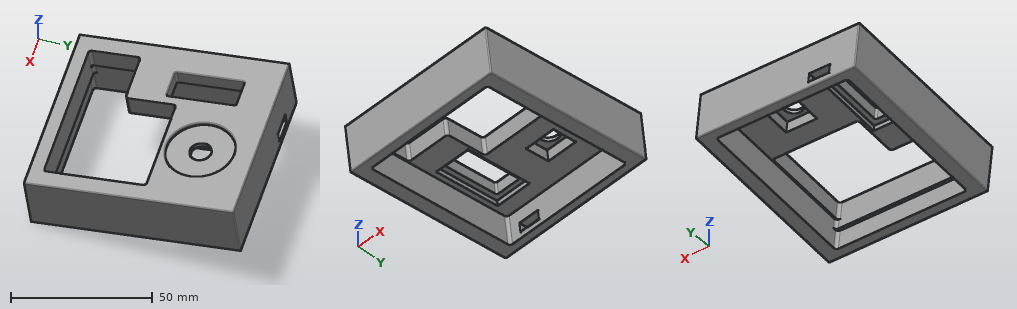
import cadquery as cq


width = 71.1
length = 78.1
height = 21.05
tilt = 7.4
edge_radius = 0.4

plate_thickness = 8
cavity_side_wall = 6.25
lower_front_wall = 4.3
cavity_back_wall = 4
step_depth = 12.4
corner_radius = 1.2

key_width = 57.6
key_depth = 38.0
key_left = (width - key_width) / 2
key_front = 5.5
key_notch_width = 19.3
key_row_depth = 19.1

window_width = 11.3
window_length = 25.9
window_center = (16.7, 51.7)
window_thickness = 5.6
window_corner_radius = 0.8
display_margin = 2.4

knob_center = (44.7, 57.9)
recess_diameter = 25.1
recess_depth = 1.2
shaft_diameter = 7.9
web_thickness = 1.8
encoder_width = 13.8
encoder_length = 11.2

port_center_x = 16.4
port_width = 9.3
port_height = 4
port_bottom = 2.8

ceiling = height - plate_thickness
step_height = height - step_depth


def block(x_range, y_range, z_range):
    """Box spanning the given ranges."""
    (x0, x1), (y0, y1), (z0, z1) = x_range, y_range, z_range
    return cq.Workplane("XY").box(x1 - x0, y1 - y0, z1 - z0, centered=False).translate((x0, y0, z0))


def centered_block(center, size_x, size_y, z_range):
    """Box centred on a plan point, spanning z_range."""
    x, y = center
    return block((x - size_x / 2, x + size_x / 2), (y - size_y / 2, y + size_y / 2), z_range)


def cavity():
    """Hollow flush with the front of the key opening, stepping forward near the bottom."""
    x_range = (cavity_side_wall, width - cavity_side_wall)
    back = length - cavity_back_wall
    upper = block(x_range, (key_front, back), (0, ceiling)).edges("|Z").fillet(corner_radius)
    lower = block(x_range, (lower_front_wall, back), (0, step_height)).edges("|Z").fillet(corner_radius)
    return upper.union(lower)


def key_opening():
    right = key_left + key_width
    notch_x = key_left + key_notch_width
    notch_y = key_front + key_row_depth
    back = key_front + key_depth
    outline = [
        (key_left, key_front),
        (right, key_front),
        (right, back),
        (notch_x, back),
        (notch_x, notch_y),
        (key_left, notch_y),
    ]
    return cq.Workplane("XY").polyline(outline).close().extrude(height).edges("|Z").fillet(corner_radius)


def display_window():
    window = centered_block(window_center, window_width, window_length, (0, height))
    return window.edges("|Z").fillet(window_corner_radius)


def display_pocket():
    return centered_block(
        window_center,
        window_width + 2 * display_margin,
        window_length + 2 * display_margin,
        (0, height - window_thickness),
    )


def knob_recess():
    return (
        cq.Workplane("XY", origin=(*knob_center, height))
        .circle(recess_diameter / 2)
        .extrude(-recess_depth)
    )


def shaft_hole():
    return cq.Workplane("XY").center(*knob_center).circle(shaft_diameter / 2).extrude(height)


def encoder_pocket():
    pocket_top = height - recess_depth - web_thickness
    return centered_block(knob_center, encoder_width, encoder_length, (0, pocket_top))


def cable_port():
    return block(
        (port_center_x - port_width / 2, port_center_x + port_width / 2),
        (length - cavity_back_wall, length),
        (port_bottom, port_bottom + port_height),
    )


def housing():
    """Rounded box with the display window and knob recess, whose mouths are rounded too."""
    box = block((0, width), (0, length), (0, height)).edges().fillet(edge_radius)
    box = box.cut(display_window()).cut(knob_recess())
    top_face = box.faces(">Z").val()
    mouth_edges = [edge for wire in top_face.innerWires() for edge in wire.Edges()]
    return box.newObject(mouth_edges).fillet(edge_radius)


upright = housing()
for void in (cavity(), key_opening(), display_pocket(), shaft_hole(), encoder_pocket(), cable_port()):
    upright = upright.cut(void)

result = upright.rotate((0, 0, 0), (1, 0, 0), tilt)